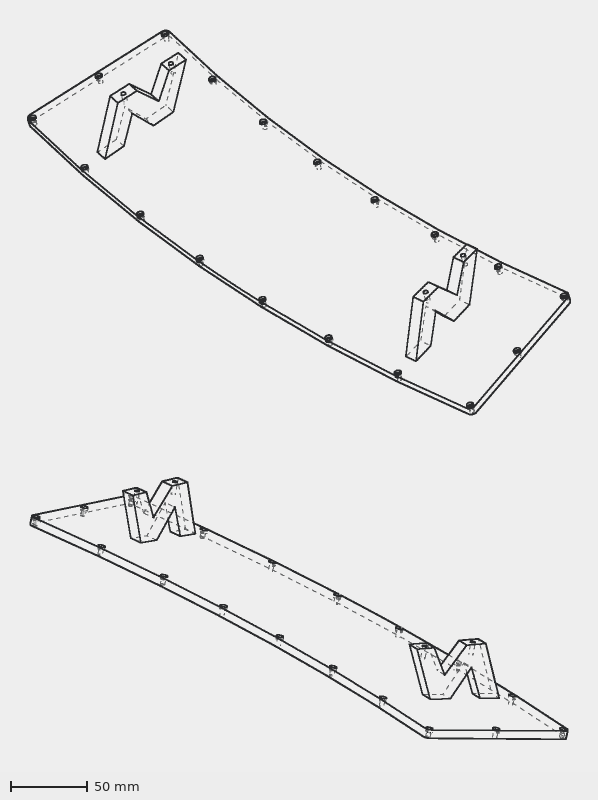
import cadquery as cq
import math

YAW = 20.6
PITCH = 11.3
ROLL = 5.8
ORIGIN = (-22.8, 38.8, -2.0)

INNER_RADIUS = 1093.5
PLATE_WIDTH = 112.5
OUTER_RADIUS = INNER_RADIUS + PLATE_WIDTH
HALF_ANGLE = 10.4
ARC_FLATTENING = 1.3
PLATE_THICKNESS = 6.0
CORNER_RADIUS = 4.0

HOLE_DIAMETER = 3.0
COUNTERBORE_DIAMETER = 4.5
COUNTERBORE_DEPTH = 2.0
HOLE_INSET = 3.5
HOLES_PER_ARC = 8

BRACKET_THICKNESS = 9.0
INNER_FOOT_START = 38.8
INNER_FOOT_END = 55.0
OUTER_FOOT_START = 79.5
OUTER_FOOT_END = 95.2
NOTCH_PLACE = 67.0
NOTCH_HEIGHT = 22.0
VALLEY_PLACE = 46.5
VALLEY_HEIGHT = 17.0
INNER_TOP_START = 19.0
INNER_TOP_END = 33.0
OUTER_TOP_START = 59.0
OUTER_TOP_END = 74.5
TOP_HEIGHT = 35.5
TOP_TILT = 3.2

SCREW_DIAMETER = 3.0
SCREW_DEPTH = 8.5
SCREW_PLACES = (28.2, 67.0)

MIDDLE_RADIUS = INNER_RADIUS + PLATE_WIDTH / 2
HOLE_ANGLE = HALF_ANGLE - math.degrees(HOLE_INSET / MIDDLE_RADIUS)
HOLE_PITCH = 2 * HOLE_ANGLE / (HOLES_PER_ARC - 1)
BRACKET_ANGLE = HOLE_ANGLE - HOLE_PITCH


def polar(radius, angle):
    """Point of the flat layout at a radius and an angle from the layout's middle line."""
    turn = math.radians(angle)
    return (radius * math.sin(turn), INNER_RADIUS - radius * math.cos(turn))


def place(body):
    """Turn and move a body from the flat layout to its final position."""
    body = body.rotate((0, 0, 0), (1, 0, 0), ROLL)
    body = body.rotate((0, 0, 0), (0, 1, 0), -PITCH)
    body = body.rotate((0, 0, 0), (0, 0, 1), YAW)
    return body.translate(ORIGIN)


def hole_places():
    """Equally spaced holes along both arcs and one in the middle of each end."""
    arcs = (INNER_RADIUS + HOLE_INSET, OUTER_RADIUS - HOLE_INSET)
    places = [polar(r, i * HOLE_PITCH - HOLE_ANGLE) for r in arcs for i in range(HOLES_PER_ARC)]
    places += [polar(MIDDLE_RADIUS, angle) for angle in (-HOLE_ANGLE, HOLE_ANGLE)]
    return places


def make_plate():
    """Ring sector with rounded corners; its top face lies at height zero."""
    plate = (
        cq.Workplane("XY", origin=(0, 0, -PLATE_THICKNESS))
        .moveTo(*polar(INNER_RADIUS, -HALF_ANGLE))
        .threePointArc(polar(INNER_RADIUS - ARC_FLATTENING, 0), polar(INNER_RADIUS, HALF_ANGLE))
        .lineTo(*polar(OUTER_RADIUS, HALF_ANGLE))
        .threePointArc(polar(OUTER_RADIUS - ARC_FLATTENING, 0), polar(OUTER_RADIUS, -HALF_ANGLE))
        .close()
        .extrude(PLATE_THICKNESS)
        .edges("|Z")
        .fillet(CORNER_RADIUS)
    )
    return (
        plate.faces(">Z")
        .workplane(origin=(0, 0, 0))
        .pushPoints(hole_places())
        .cboreHole(HOLE_DIAMETER, COUNTERBORE_DIAMETER, COUNTERBORE_DEPTH)
    )


def top_point(radial_place):
    """Point of the bracket profile on the tilted line that both tops share."""
    rise = (radial_place - INNER_TOP_START) * math.tan(math.radians(TOP_TILT))
    return (-radial_place, TOP_HEIGHT + rise)


def make_bracket(angle):
    """Zigzag bracket standing along a radius of the plate at the given angle."""
    bracket = (
        cq.Workplane("YZ")
        .polyline(
            [
                (-INNER_FOOT_START, 0),
                (-INNER_FOOT_END, 0),
                (-NOTCH_PLACE, NOTCH_HEIGHT),
                (-OUTER_FOOT_START, 0),
                (-OUTER_FOOT_END, 0),
                top_point(OUTER_TOP_END),
                top_point(OUTER_TOP_START),
                (-VALLEY_PLACE, VALLEY_HEIGHT),
                top_point(INNER_TOP_END),
                top_point(INNER_TOP_START),
            ]
        )
        .close()
        .extrude(BRACKET_THICKNESS / 2, both=True)
    )
    tilt = math.radians(TOP_TILT)
    drill_direction = cq.Vector(0, -math.sin(tilt), -math.cos(tilt))
    for radial_place in SCREW_PLACES:
        start = cq.Vector(0, *top_point(radial_place))
        drill = cq.Solid.makeCylinder(SCREW_DIAMETER / 2, SCREW_DEPTH, start, drill_direction)
        bracket = bracket.cut(cq.Workplane(drill))
    return bracket.rotate((0, INNER_RADIUS, 0), (0, INNER_RADIUS, 1), angle)


plate = place(make_plate())
brackets = [place(make_bracket(angle)) for angle in (-BRACKET_ANGLE, BRACKET_ANGLE)]
result = cq.Compound.makeCompound([plate.val(), *[bracket.val() for bracket in brackets]])